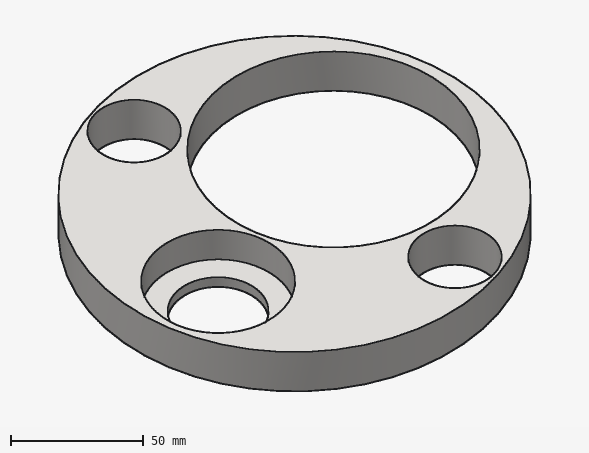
import cadquery as cq

disc_diameter = 178.0
disc_thickness = 20.0

opening_diameter = 110.2
opening_center_y = 29.0

side_hole_diameter = 35.2
side_hole_offset_x = 70.0

bore_diameter = 38.0
counterbore_diameter = 58.0
counterbore_depth = 15.0
counterbore_center_y = -57.0


def make_disc():
    return cq.Workplane("XY").circle(disc_diameter / 2).extrude(disc_thickness)


def through_cutter(x, y, diameter):
    return cq.Workplane("XY").center(x, y).circle(diameter / 2).extrude(disc_thickness)


def cut_opening(body):
    return body.cut(through_cutter(0, opening_center_y, opening_diameter))


def cut_side_holes(body):
    for side in (-1, 1):
        body = body.cut(through_cutter(side * side_hole_offset_x, 0, side_hole_diameter))
    return body


def cut_stepped_hole(body):
    body = body.cut(through_cutter(0, counterbore_center_y, bore_diameter))
    counterbore = (
        cq.Workplane("XY", origin=(0, counterbore_center_y, disc_thickness))
        .circle(counterbore_diameter / 2)
        .extrude(-counterbore_depth)
    )
    return body.cut(counterbore)


result = cut_stepped_hole(cut_side_holes(cut_opening(make_disc())))